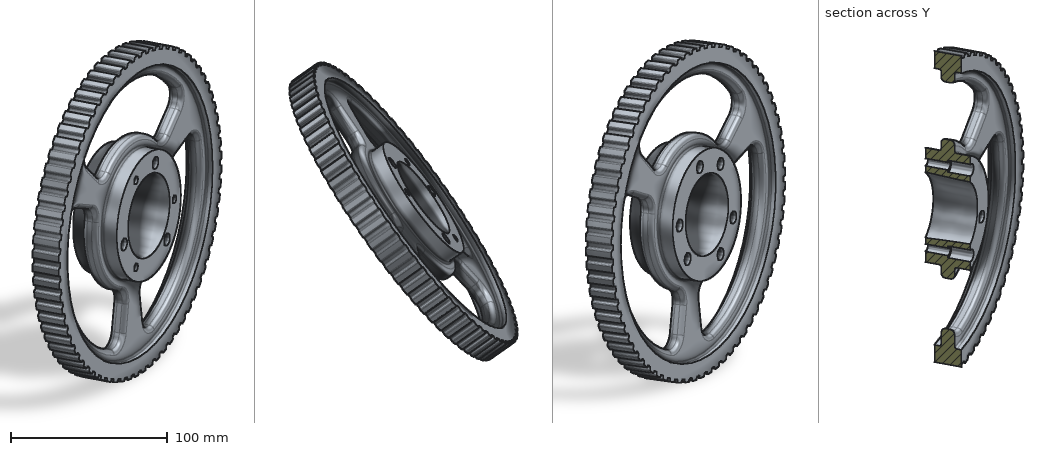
import cadquery as cq
import math


tooth_count = 72
tip_diameter = 217.6
rim_width = 19.05
rim_inner_diameter = 193.6

groove_depth = 2.13
groove_bottom_width = 3.05
groove_side_angle = 20.0
groove_root_radius = 0.508
tooth_tip_radius = 0.762

web_thickness = 9.9
web_corner_radius = 1.3

spoke_count = 3
window_outer_radius = 88.9
window_inner_radius = 50.8
spoke_half_angle = 10.0
window_corner_radius = 9.525
window_edge_radius = 3.175

hub_diameter = 85.725
hub_length = 31.75
bore_small_diameter = 53.58
bore_taper = 1 / 16

bolt_circle_diameter = 68.26
clear_hole_diameter = 7.94
tapped_hole_diameter = 5.1
counterbore_depth = hub_length / 2
hole_count = 3
first_clear_hole_angle = 105.0
first_tapped_hole_angle = 60.0

tip_radius = tip_diameter / 2
rim_inner_radius = rim_inner_diameter / 2
hub_radius = hub_diameter / 2
bore_large_diameter = bore_small_diameter + bore_taper * hub_length
half_hub = hub_length / 2
half_rim = rim_width / 2
half_web = web_thickness / 2
selection_margin = 0.01


def polar(radius, angle):
    """Point (Y, Z) on a circle about the axis; degrees from -Y toward +Z."""
    radians = math.radians(angle)
    return (-radius * math.cos(radians), radius * math.sin(radians))


def slab_selector(half_width, radius):
    """Select edges that lie wholly inside a slab centred on the axis."""
    x_limit = half_width + selection_margin
    return cq.selectors.BoxSelector(
        (-x_limit, -radius, -radius),
        (x_limit, radius, radius),
        boundingbox=True,
    )


def make_blank():
    """Revolve the rim, web and hub section, then round the web's corners."""
    section = [
        (-half_hub, bore_small_diameter / 2),
        (-half_hub, hub_radius),
        (-half_web, hub_radius),
        (-half_web, rim_inner_radius),
        (-half_rim, rim_inner_radius),
        (-half_rim, tip_radius),
        (half_rim, tip_radius),
        (half_rim, rim_inner_radius),
        (half_web, rim_inner_radius),
        (half_web, hub_radius),
        (half_hub, hub_radius),
        (half_hub, bore_large_diameter / 2),
    ]
    blank = cq.Workplane("XY").polyline(section).close().revolve(360, (0, 0, 0), (1, 0, 0))
    web_circles = blank.edges(slab_selector(half_web, tip_radius)).edges("%CIRCLE")
    return web_circles.fillet(web_corner_radius)


def make_window(middle_angle):
    """Straight-walled window: a ring sector between two spokes with rounded corners."""
    half_span = 180 / spoke_count - spoke_half_angle
    start = middle_angle - half_span
    end = middle_angle + half_span
    outline = (
        cq.Workplane("YZ")
        .moveTo(*polar(window_inner_radius, start))
        .lineTo(*polar(window_outer_radius, start))
        .threePointArc(polar(window_outer_radius, middle_angle), polar(window_outer_radius, end))
        .lineTo(*polar(window_inner_radius, end))
        .threePointArc(polar(window_inner_radius, middle_angle), polar(window_inner_radius, start))
        .close()
    )
    return outline.extrude(half_web, both=True).edges("|X").fillet(window_corner_radius)


def cut_windows(body):
    """Cut the windows, flared so that the edges they leave in the web are rounded."""
    disc = cq.Workplane("YZ").circle(rim_inner_radius).extrude(half_web, both=True)
    spoked_disc = disc
    for index in range(spoke_count):
        middle_angle = 90 + index * 360 / spoke_count
        spoked_disc = spoked_disc.cut(make_window(middle_angle))
    window_edges = slab_selector(half_web, window_outer_radius + selection_margin)
    spoked_disc = spoked_disc.faces("<X or >X").edges(window_edges).fillet(window_edge_radius)
    flared_windows = disc.cut(spoked_disc)
    return body.cut(flared_windows)


def make_groove():
    """Straight-sided groove cutter on +Z with a rounded root."""
    bottom = tip_radius - groove_depth
    top = tip_radius + groove_depth
    half_bottom = groove_bottom_width / 2
    half_top = half_bottom + (top - bottom) * math.tan(math.radians(groove_side_angle))
    section = [
        (-half_bottom, bottom),
        (half_bottom, bottom),
        (half_top, top),
        (-half_top, top),
    ]
    groove = cq.Workplane("YZ").polyline(section).close().extrude(half_rim, both=True)
    return groove.faces("<Z").edges("|X").fillet(groove_root_radius)


def is_tooth_tip(edge):
    """True for an edge whose middle lies on the tip circle."""
    center = edge.Center()
    return math.hypot(center.y, center.z) > tip_radius - selection_margin


def cut_grooves(body):
    """Cut one groove per tooth around the rim and round the tooth tips."""
    groove = make_groove().val()
    axis_start = cq.Vector(0, 0, 0)
    axis_end = cq.Vector(1, 0, 0)
    cutters = []
    for index in range(tooth_count):
        angle = index * 360 / tooth_count
        cutters.append(groove.rotate(axis_start, axis_end, angle))
    body = body.cut(cq.Workplane(cq.Compound.makeCompound(cutters)))
    return body.edges("|X").filter(is_tooth_tip).fillet(tooth_tip_radius)


def make_hole_ring(first_angle, diameter, depth):
    """Evenly spaced hole cutters on the bolt circle, starting at the -X hub face."""
    centers = []
    for index in range(hole_count):
        angle = first_angle + index * 360 / hole_count
        centers.append(polar(bolt_circle_diameter / 2, angle))
    hub_face = cq.Workplane("YZ", origin=(-half_hub, 0, 0))
    return hub_face.pushPoints(centers).circle(diameter / 2).extrude(depth)


def cut_hub_holes(body):
    """Clear holes through the hub, and smaller holes counterbored from the -X face."""
    body = body.cut(make_hole_ring(first_clear_hole_angle, clear_hole_diameter, hub_length))
    body = body.cut(make_hole_ring(first_tapped_hole_angle, tapped_hole_diameter, hub_length))
    return body.cut(make_hole_ring(first_tapped_hole_angle, clear_hole_diameter, counterbore_depth))


pulley = make_blank()
pulley = cut_windows(pulley)
pulley = cut_grooves(pulley)
result = cut_hub_holes(pulley)